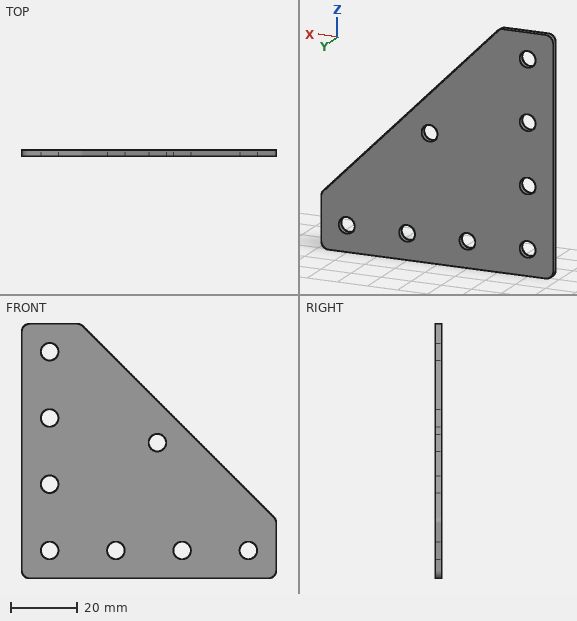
import cadquery as cq

side = 77.0
thickness = 2.0
short_edge = 17.8
corner_radius = 2.5
hole_diameter = 5.2
hole_margin = 8.5
hole_pitch = 20.0
holes_per_leg = 4
inner_hole_offset = 41.05


def plate():
    """Square plate with one corner cut at 45 degrees and all corners rounded."""
    outline = [
        (0, 0),
        (side, 0),
        (side, short_edge),
        (short_edge, side),
        (0, side),
    ]
    blank = cq.Workplane("XZ").polyline(outline).close().extrude(-thickness)
    return blank.edges("|Y").fillet(corner_radius)


def hole_centres():
    """One row along each leg sharing the corner hole, plus the lone hole."""
    row = [hole_margin + i * hole_pitch for i in range(holes_per_leg)]
    bottom_row = [(x, hole_margin) for x in row]
    left_row = [(hole_margin, z) for z in row[1:]]
    return bottom_row + left_row + [(inner_hole_offset, inner_hole_offset)]


holes = (
    cq.Workplane("XZ")
    .pushPoints(hole_centres())
    .circle(hole_diameter / 2)
    .extrude(-thickness)
)

result = plate().cut(holes)